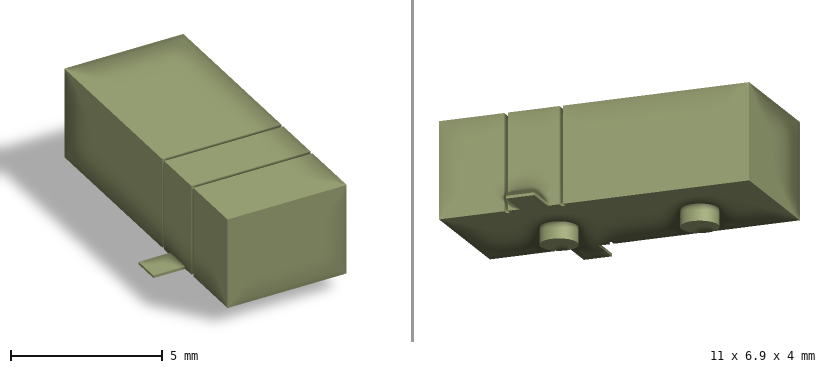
import cadquery as cq

body_length = 11.0
body_width = 4.5
body_height = 3.41
front_block_length = 6.6
band_length = 1.83
groove_width = 0.13
groove_depth = 0.2

tab_span = 6.9
tab_width = 1.0
tab_thickness = 0.1

pin_diameter = 1.3
pin_height = 0.59
front_pin_x = 2.65

band_start = front_block_length + groove_width
band_end = band_start + band_length
band_center_x = band_start + band_length / 2


def cut_groove(body, start_x):
    """Cut a groove across the top and both sides, leaving the core."""
    core_width = body_width - 2 * groove_depth
    core_height = body_height - groove_depth
    slice_box = cq.Workplane("XY").box(
        groove_width, body_width, body_height, centered=(False, True, False)
    )
    core = cq.Workplane("XY").box(
        groove_width, core_width, core_height, centered=(False, True, False)
    )
    return body.cut(slice_box.cut(core).translate((start_x, 0, 0)))


result = cq.Workplane("XY").box(
    body_length, body_width, body_height, centered=(False, True, False)
)
for groove_start in (front_block_length, band_end):
    result = cut_groove(result, groove_start)

tabs = (
    cq.Workplane("XY")
    .box(tab_width, tab_span, tab_thickness, centered=(True, True, False))
    .translate((band_center_x, 0, 0))
)
result = result.union(tabs)

pins = (
    cq.Workplane("XY")
    .pushPoints([(front_pin_x, 0), (band_center_x, 0)])
    .circle(pin_diameter / 2)
    .extrude(-pin_height)
)
result = result.union(pins)